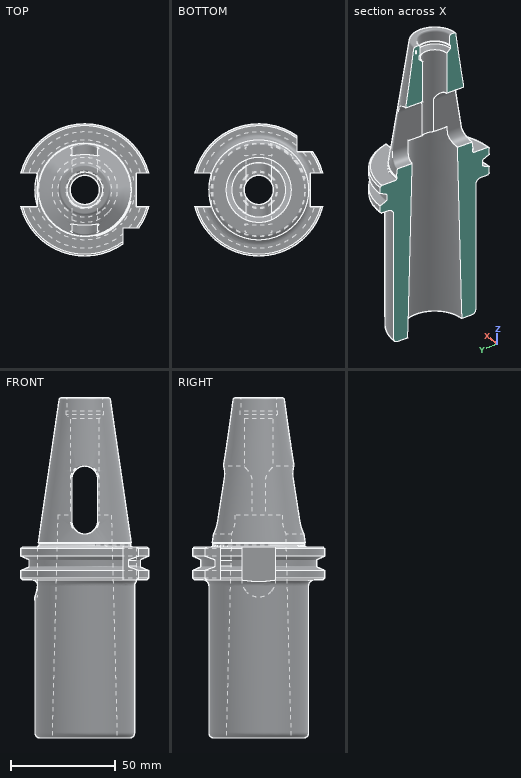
import cadquery as cq
import math

GAUGE_DIAMETER = 44.45
TAPER_RATIO = 7 / 24
TAPER_LENGTH = 68.4
TAPER_TIP_FILLET = 1.2
TAPER_BASE_Z = -1.2
RELIEF_DEPTH = 0.3
RELIEF_FILLET = 0.8

FLANGE_DIAMETER = 63.55
FLANGE_TOP_Z = -3.2
FLANGE_THICKNESS = 15.9
FLANGE_EDGE_CHAMFER = 0.9
GROOVE_CENTER_Z = -11.1
GROOVE_FLOOR_DIAMETER = 55.9
GROOVE_FLOOR_WIDTH = 3.4
GROOVE_MOUTH_WIDTH = 6.9
GROOVE_FLOOR_FILLET = 0.5

BODY_DIAMETER = 48.0
BODY_END_Z = -95.0
BODY_END_FILLET = 2.5
NECK_FILLET = 2.8

DRIVE_SLOT_WIDTH = 16.1
SHALLOW_SLOT_X = 24.8
DEEP_SLOT_X = 22.7
DEEP_SLOT_END_Z = -27.3
CORNER_NOTCH_OFFSET = 18.4

PILOT_DIAMETER = 17.0
PILOT_MOUTH_FILLET = 1.1
PILOT_DEPTH = 6.3
UNDERCUT_DIAMETER = 18.0
UNDERCUT_WIDTH = 1.7
DRAWBAR_HOLE_DIAMETER = 13.9

SOCKET_MOUTH_DIAMETER = 31.267
SOCKET_TAPER = 1 / 19.254
SOCKET_DEPTH = 107.0

DRIFT_SLOT_WIDTH = 12.2
DRIFT_SLOT_TOP_Z = 35.5
DRIFT_SLOT_BOTTOM_Z = 3.0
DRIFT_SLOT_EDGE_FILLET = 0.5

FLANGE_RADIUS = FLANGE_DIAMETER / 2
FLANGE_BOTTOM_Z = FLANGE_TOP_Z - FLANGE_THICKNESS


def taper_radius(z):
    return (GAUGE_DIAMETER - z * TAPER_RATIO) / 2


def quarter_arc_offset(radius):
    """Distance of a corner round's midpoint from each of its two tangent faces."""
    return radius * (1 - math.sqrt(0.5))


def revolve_profile(profile):
    """Close a half-section drawn in the XZ plane and turn it about the Z axis."""
    return profile.close().revolve(360, (0, 0, 0), (0, 1, 0))


def make_shank():
    base_radius = taper_radius(TAPER_BASE_Z)
    relief_radius = base_radius - RELIEF_DEPTH
    arc_offset = quarter_arc_offset(RELIEF_FILLET)
    cone = (
        cq.Workplane("XZ")
        .moveTo(0, TAPER_LENGTH)
        .lineTo(taper_radius(TAPER_LENGTH), TAPER_LENGTH)
        .lineTo(base_radius, TAPER_BASE_Z)
        .lineTo(relief_radius, TAPER_BASE_Z - RELIEF_DEPTH)
        .lineTo(relief_radius, FLANGE_TOP_Z + RELIEF_FILLET)
        .threePointArc(
            (relief_radius + arc_offset, FLANGE_TOP_Z + arc_offset),
            (relief_radius + RELIEF_FILLET, FLANGE_TOP_Z),
        )
        .lineTo(0, FLANGE_TOP_Z)
    )
    shank = revolve_profile(cone)
    return shank.faces(">Z").edges().fillet(TAPER_TIP_FILLET)


def make_drift_slot():
    height = DRIFT_SLOT_TOP_Z - DRIFT_SLOT_BOTTOM_Z
    middle_z = (DRIFT_SLOT_TOP_Z + DRIFT_SLOT_BOTTOM_Z) / 2
    return (
        cq.Workplane("XZ")
        .center(0, middle_z)
        .slot2D(height, DRIFT_SLOT_WIDTH, 90)
        .extrude(GAUGE_DIAMETER, both=True)
    )


def make_slotted_shank():
    slotted = make_shank().cut(make_drift_slot())
    rim_box = cq.selectors.BoxSelector(
        (-DRIFT_SLOT_WIDTH, -GAUGE_DIAMETER, 0),
        (DRIFT_SLOT_WIDTH, GAUGE_DIAMETER, DRIFT_SLOT_TOP_Z),
    )
    rim = cq.selectors.SubtractSelector(rim_box, cq.selectors.ParallelDirSelector(cq.Vector(0, 1, 0)))
    return slotted.edges(rim).fillet(DRIFT_SLOT_EDGE_FILLET)


def make_flange():
    flange = (
        cq.Workplane("XY", origin=(0, 0, FLANGE_BOTTOM_Z))
        .circle(FLANGE_RADIUS)
        .extrude(FLANGE_THICKNESS)
        .edges()
        .chamfer(FLANGE_EDGE_CHAMFER)
    )
    floor_radius = GROOVE_FLOOR_DIAMETER / 2
    half_floor = GROOVE_FLOOR_WIDTH / 2
    half_mouth = GROOVE_MOUTH_WIDTH / 2
    groove = revolve_profile(
        cq.Workplane("XZ")
        .moveTo(floor_radius, GROOVE_CENTER_Z - half_floor)
        .lineTo(floor_radius, GROOVE_CENTER_Z + half_floor)
        .lineTo(FLANGE_RADIUS, GROOVE_CENTER_Z + half_mouth)
        .lineTo(FLANGE_RADIUS, GROOVE_CENTER_Z - half_mouth)
    )
    floor_edges = cq.selectors.RadiusNthSelector(0)
    groove = groove.edges(floor_edges).fillet(GROOVE_FLOOR_FILLET)
    return flange.cut(groove)


def make_body():
    radius = BODY_DIAMETER / 2
    arc_offset = quarter_arc_offset(NECK_FILLET)
    return revolve_profile(
        cq.Workplane("XZ")
        .moveTo(0, FLANGE_BOTTOM_Z)
        .lineTo(radius + NECK_FILLET, FLANGE_BOTTOM_Z)
        .threePointArc(
            (radius + arc_offset, FLANGE_BOTTOM_Z - arc_offset),
            (radius, FLANGE_BOTTOM_Z - NECK_FILLET),
        )
        .lineTo(radius, BODY_END_Z)
        .lineTo(0, BODY_END_Z)
    ).faces("<Z").edges().fillet(BODY_END_FILLET)


def make_notches():
    height = FLANGE_THICKNESS + NECK_FILLET
    shallow = (
        cq.Workplane("XY", origin=(0, 0, FLANGE_TOP_Z))
        .rect(FLANGE_DIAMETER, DRIVE_SLOT_WIDTH)
        .extrude(-height)
        .translate((SHALLOW_SLOT_X + FLANGE_RADIUS, 0, 0))
    )
    half_width = DRIVE_SLOT_WIDTH / 2
    arc_start_z = DEEP_SLOT_END_Z + half_width
    deep = (
        cq.Workplane("YZ", origin=(-DEEP_SLOT_X, 0, 0))
        .moveTo(-half_width, FLANGE_TOP_Z)
        .lineTo(-half_width, arc_start_z)
        .threePointArc((0, DEEP_SLOT_END_Z), (half_width, arc_start_z))
        .lineTo(half_width, FLANGE_TOP_Z)
        .close()
        .extrude(-FLANGE_RADIUS)
    )
    corner = (
        cq.Workplane("XY", origin=(CORNER_NOTCH_OFFSET, -CORNER_NOTCH_OFFSET, FLANGE_TOP_Z))
        .rect(FLANGE_RADIUS, -FLANGE_RADIUS, centered=False)
        .extrude(-height)
    )
    return shallow.union(deep).union(corner)


def make_bores():
    pilot_radius = PILOT_DIAMETER / 2
    hole_radius = DRAWBAR_HOLE_DIAMETER / 2
    mouth_arc_offset = quarter_arc_offset(PILOT_MOUTH_FILLET)
    pilot_end_z = TAPER_LENGTH - PILOT_DEPTH
    undercut_radius = UNDERCUT_DIAMETER / 2
    undercut_end_z = pilot_end_z - UNDERCUT_WIDTH
    socket_end_z = BODY_END_Z + SOCKET_DEPTH
    socket_mouth_radius = SOCKET_MOUTH_DIAMETER / 2
    socket_end_radius = socket_mouth_radius - SOCKET_DEPTH * SOCKET_TAPER / 2
    return revolve_profile(
        cq.Workplane("XZ")
        .moveTo(0, TAPER_LENGTH)
        .lineTo(pilot_radius + PILOT_MOUTH_FILLET, TAPER_LENGTH)
        .threePointArc(
            (pilot_radius + mouth_arc_offset, TAPER_LENGTH - mouth_arc_offset),
            (pilot_radius, TAPER_LENGTH - PILOT_MOUTH_FILLET),
        )
        .lineTo(pilot_radius, pilot_end_z)
        .lineTo(undercut_radius, pilot_end_z)
        .lineTo(undercut_radius, undercut_end_z)
        .lineTo(hole_radius, undercut_end_z - (undercut_radius - hole_radius))
        .lineTo(hole_radius, socket_end_z)
        .lineTo(socket_end_radius, socket_end_z)
        .lineTo(socket_mouth_radius, BODY_END_Z)
        .lineTo(0, BODY_END_Z)
    )


result = (
    make_slotted_shank()
    .union(make_flange())
    .union(make_body())
    .cut(make_notches())
    .cut(make_bores())
)